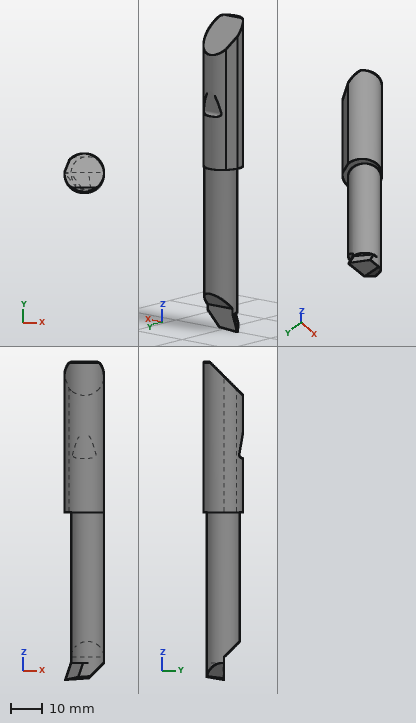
import cadquery as cq
import math

total_length = 101.6
shank_diameter = 12.7
neck_diameter = 10.6
neck_length = 53.4
end_chamfer = 0.4

shank_radius = shank_diameter / 2
neck_radius = neck_diameter / 2
neck_center_x = shank_radius - neck_radius

end_slope_start_y = -4.5

flat_upper_y = 4.2
flat_lower_y = 0.3

notch_depth = 1.2
notch_corner_radius = 1.2
notch_bottom_z = 70.7
notch_deepest_z = notch_bottom_z + notch_corner_radius
notch_top_z = 78.9

rake_y = 0.3
land_width = 0.4
rake_start_z = 7.3
nose_height = 5.5
tip_x = -6.1
flank_inset = 3.9
bottom_rise_along_x = 0.07
bottom_rise_along_back = 0.12
relief_clearance = 1.0


def extrude_along_x(points):
    """Full-width prism from a profile of (Y, Z) points."""
    return cq.Workplane("YZ").polyline(points).close().extrude(shank_radius, both=True)


def shank_edge_x(y):
    """X of the -X side of the shank circle at the given Y."""
    return -math.sqrt(shank_radius**2 - y**2)


def make_shank():
    shank = (
        cq.Workplane("XY")
        .workplane(offset=neck_length)
        .circle(shank_radius)
        .extrude(total_length - neck_length)
        .faces(">Z")
        .chamfer(end_chamfer)
    )
    slope_drop = shank_radius - end_slope_start_y
    end_slope = extrude_along_x([
        (end_slope_start_y, total_length),
        (shank_radius, total_length),
        (shank_radius, total_length - slope_drop),
    ])
    flat = (
        cq.Workplane("XY")
        .workplane(offset=neck_length)
        .polyline([
            (shank_edge_x(flat_lower_y), flat_lower_y),
            (shank_edge_x(flat_upper_y), flat_upper_y),
            (-shank_radius, flat_upper_y),
            (-shank_radius, flat_lower_y),
        ])
        .close()
        .extrude(total_length - neck_length)
    )
    notch = (
        cq.Workplane("YZ")
        .moveTo(shank_radius, notch_top_z)
        .lineTo(shank_radius - notch_depth, notch_deepest_z)
        .radiusArc((shank_radius, notch_bottom_z), -notch_corner_radius)
        .close()
        .extrude(shank_radius, both=True)
    )
    return shank.cut(end_slope).cut(flat).cut(notch)


def make_neck():
    neck = cq.Workplane("XY").center(neck_center_x, 0).circle(neck_radius).extrude(neck_length)
    rake_relief = extrude_along_x([
        (rake_y, 0),
        (shank_radius, 0),
        (shank_radius, rake_start_z + shank_radius - rake_y),
        (rake_y, rake_start_z),
    ])
    tooth_space = cq.Workplane("XY").box(
        shank_diameter, shank_diameter, nose_height, centered=(True, True, False)
    ).translate((neck_center_x - shank_radius, 0, 0))
    return neck.cut(rake_relief).cut(tooth_space)


def make_tooth():
    """Tooth with a straight land behind the rake plane, then a flank that leans inward to the back."""
    def outline(inset):
        return [
            (tip_x + inset, 0),
            (neck_center_x, 0),
            (neck_center_x, nose_height),
            (neck_center_x - neck_radius + inset, nose_height),
        ]

    land_back_y = rake_y - land_width
    land = cq.Workplane("XZ", origin=(0, rake_y, 0)).polyline(outline(0)).close().extrude(land_width)
    flank = (
        cq.Workplane("XZ", origin=(0, land_back_y, 0))
        .polyline(outline(0))
        .close()
        .workplane(offset=neck_radius + land_back_y)
        .polyline(outline(flank_inset))
        .close()
        .loft(ruled=True)
    )
    return land.union(flank)


def make_nose_chamfer():
    return (
        cq.Workplane("XZ")
        .polyline([
            (shank_radius, nose_height),
            (shank_radius, 0),
            (shank_radius - nose_height, 0),
        ])
        .close()
        .extrude(shank_radius, both=True)
    )


def make_bottom_relief():
    """Space below the end face, which climbs from the tip toward +X and toward -Y."""
    def outline(back_rise):
        far_rise = bottom_rise_along_x * (shank_radius - tip_x)
        return [
            (tip_x, -relief_clearance),
            (shank_radius, -relief_clearance),
            (shank_radius, back_rise + far_rise),
            (tip_x, back_rise),
        ]

    relief_depth = rake_y + shank_radius
    return (
        cq.Workplane("XZ", origin=(0, rake_y, 0))
        .polyline(outline(0))
        .close()
        .workplane(offset=relief_depth)
        .polyline(outline(bottom_rise_along_back * relief_depth))
        .close()
        .loft(ruled=True)
    )


bar = make_shank().union(make_neck()).union(make_tooth())
result = bar.cut(make_nose_chamfer()).cut(make_bottom_relief())